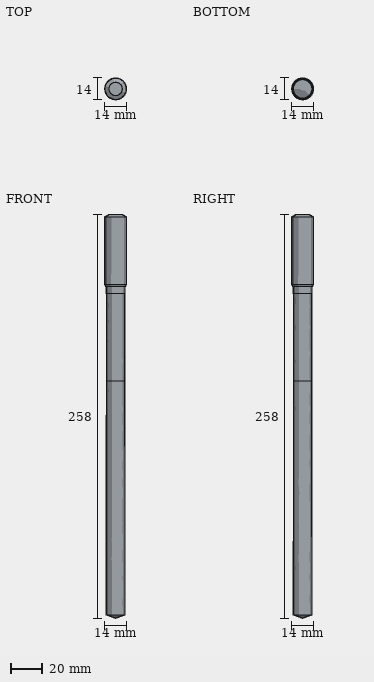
import cadquery as cq
import math

total_length = 258.0

shank_diameter = 14.0
shank_top_diameter = 8.5
top_chamfer_angle = 30.0
shank_bottom_z = 213.4
bottom_chamfer_diameter = 13.0
bottom_chamfer_height = 1.3

neck_diameter = 12.0
rod_top_z = 207.5
rod_top_diameter = 11.9
drill_diameter = 12.0
joint_z = 151.7
point_angle = 140.0

top_chamfer_width = (shank_diameter - shank_top_diameter) / 2
top_chamfer_height = top_chamfer_width * math.tan(math.radians(top_chamfer_angle))
point_height = drill_diameter / 2 / math.tan(math.radians(point_angle / 2))

taper_fraction = (joint_z - point_height) / (rod_top_z - point_height)
joint_diameter = drill_diameter - (drill_diameter - rod_top_diameter) * taper_fraction


def revolve_profile(points):
    """Turn a closed (radius, z) outline around the Z axis."""
    return cq.Workplane("XZ").polyline(points).close().revolve(360, (0, 0, 0), (0, 1, 0))


def make_holder():
    """Shank chamfered at both ends, with its neck and the upper part of the tapered rod."""
    bottom_chamfer_z = shank_bottom_z - bottom_chamfer_height
    return revolve_profile([
        (0, total_length),
        (shank_top_diameter / 2, total_length),
        (shank_diameter / 2, total_length - top_chamfer_height),
        (shank_diameter / 2, shank_bottom_z),
        (bottom_chamfer_diameter / 2, bottom_chamfer_z),
        (neck_diameter / 2, bottom_chamfer_z),
        (neck_diameter / 2, rod_top_z),
        (rod_top_diameter / 2, rod_top_z),
        (joint_diameter / 2, joint_z),
        (0, joint_z),
    ])


def make_drill():
    """Lower part of the tapered rod, ending in a conical point."""
    return revolve_profile([
        (0, joint_z),
        (joint_diameter / 2, joint_z),
        (drill_diameter / 2, point_height),
        (0, 0),
    ])


holder = make_holder()
drill = make_drill()

result = cq.Compound.makeCompound([holder.val(), drill.val()])